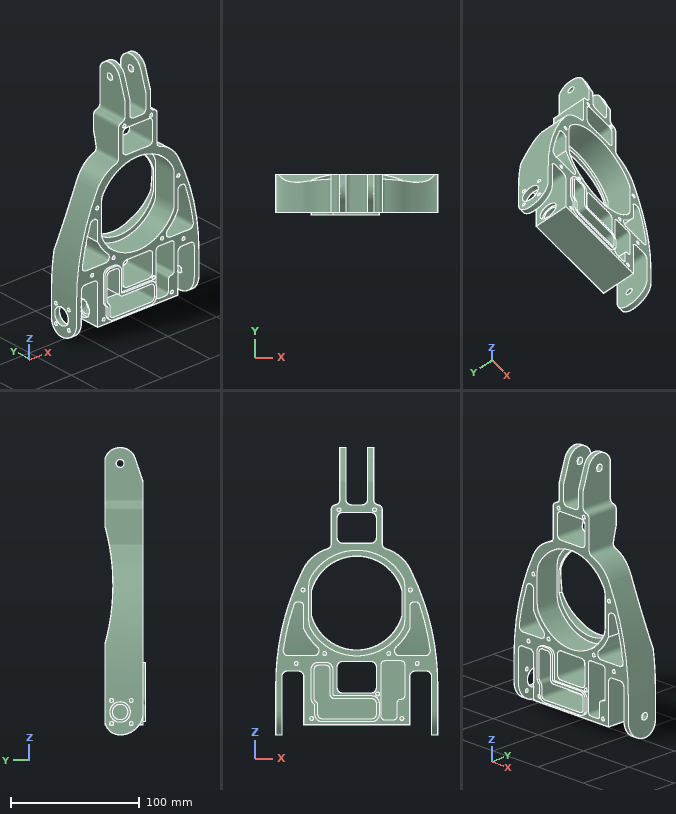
import cadquery as cq
import math


depth = 30.0
total_height = 224.5
half_width = 126.62 / 2
wall = 4.0
corner_radius = 4.0

arm_thickness = 5.0
arm_front_radius = 18.0
arm_back_radius = depth - arm_front_radius
pivot_y = arm_front_radius
pivot_z = arm_front_radius
bearing_radius = 8.0
pin_radius = 3.0
arm_straight_top = 38.8
arm_gap_top = 49.9
arm_screw_spacing_y = 15.4
arm_screw_spacing_z = 18.0
arm_screw_center_y = pivot_y - 1.0

body_half_width = 41.5
body_bottom = 8.0
bearing_seat_depth = 3.0
bearing_bore_radius = 6.0
bearing_bore_depth = 9.0

flank_radius = 202.0
flank_center = (half_width - flank_radius, arm_straight_top)
ring_z = 103.0
crown_start_z = 129.2
crown_radius = 32.0

bore_radius = 36.6
bore_half_flat = 35.3
recess_radius = 41.25
recess_half_flat = 37.5
recess_depth = 22.0
recess_blend = 15.0

neck_half_width = 20.0
shoulder_z = 179.75
lug_inner = 8.3
lug_outer = 13.3
head_radius = 12.5
pin_y = pivot_y
pin_z = total_height - head_radius
nose_slope = math.radians(18.5)
nose_blend = 6.5

hollow_z = 117.0
hollow_half_chord = 46.1
hollow_sag = 6.3
hollow_radius = (hollow_half_chord**2 + hollow_sag**2) / (2 * hollow_sag)

window_half_width = 15.25
neck_window_bottom = 149.85
neck_window_top = 173.65
body_window_bottom = 32.9
body_window_top = 57.3

pocket_bottom = 61.9
pocket_top = 104.0
pocket_ring_radius = 46.0
pocket_foot_radius = 4.0
pocket_tip_radius = 3.4

body_pocket_depth = depth - wall
lip_width = 2.3
lip_height = 2.0
channel_corner_radius = 3.5
channel_outline = [
    (-33.4, 54.5),
    (-20.8, 54.5),
    (-20.8, 28.4),
    (15.3, 28.4),
    (15.3, 12.7),
    (-30.5, 12.7),
    (-30.5, 24.8),
    (-33.4, 27.4),
]
stepped_corner_radius = 2.9
stepped_pocket_outline = [
    (19.0, 58.0),
    (37.5, 58.0),
    (37.5, 27.9),
    (31.5, 27.9),
    (31.5, 11.8),
    (19.0, 11.8),
]

screw_diameter = 3.0
screw_depth = 10.0
drill_tip_angle = math.radians(118)
mirrored_screws = [(13.9, 175.8), (41.9, 113.2), (25.0, 63.6), (47.2, 55.8), (35.2, 12.9)]
single_screw = (16.3, 32.0)


def circle_x(center, radius, z):
    """X of the right-hand point of a circle at height z."""
    return center[0] + math.sqrt(radius**2 - (z - center[1]) ** 2)


def circle_point(center, radius, angle):
    return (center[0] + radius * math.cos(angle), center[1] + radius * math.sin(angle))


def arc_middle(center, start, end):
    """Middle point of the shorter arc about a center from start to end."""
    radius = math.hypot(start[0] - center[0], start[1] - center[1])
    chord_x = (start[0] + end[0]) / 2 - center[0]
    chord_z = (start[1] + end[1]) / 2 - center[1]
    stretch = radius / math.hypot(chord_x, chord_z)
    return (center[0] + stretch * chord_x, center[1] + stretch * chord_z)


def front_plane(y=0.0):
    """Sketch plane parallel to the front face, with local axes X and Z."""
    return cq.Workplane("XZ", origin=(0, y, 0))


def side_plane(x=0.0):
    """Sketch plane with local axes Y and Z."""
    return cq.Workplane("YZ", origin=(x, 0, 0))


def both_sides(solid):
    return solid.union(solid.mirror("YZ"))


def edge_along_y(x, z):
    """Selector for the front-to-back edge at the given X and Z."""
    reach = 0.5
    return cq.selectors.BoxSelector(
        (x - reach, -1, z - reach), (x + reach, depth + 1, z + reach)
    )


def half_frame():
    arm_inner = half_width - arm_thickness
    flank_angle = math.asin((crown_start_z - arm_straight_top) / flank_radius)
    flank_end = circle_point(flank_center, flank_radius, flank_angle)
    crown_center = circle_point(flank_center, flank_radius - crown_radius, flank_angle)
    crown_rise = math.sqrt(crown_radius**2 - (neck_half_width - crown_center[0]) ** 2)
    neck_foot = (neck_half_width, crown_center[1] + crown_rise)

    turn = math.acos(1 - (neck_half_width - lug_outer) / (2 * corner_radius))
    rise = corner_radius * math.sin(turn)
    shoulder_middle = ((neck_half_width + lug_outer) / 2, shoulder_z)
    flank_start = (half_width, arm_straight_top)
    shoulder_start = (neck_half_width, shoulder_z - rise)
    convex_center = (neck_half_width - corner_radius, shoulder_z - rise)

    frame = (
        front_plane()
        .moveTo(0, body_bottom)
        .lineTo(body_half_width, body_bottom)
        .lineTo(body_half_width, arm_gap_top)
        .lineTo(arm_inner, arm_gap_top)
        .lineTo(arm_inner, pivot_z)
        .lineTo(half_width, pivot_z)
        .lineTo(*flank_start)
        .threePointArc(arc_middle(flank_center, flank_start, flank_end), flank_end)
        .threePointArc(arc_middle(crown_center, flank_end, neck_foot), neck_foot)
        .lineTo(*shoulder_start)
        .threePointArc(arc_middle(convex_center, shoulder_start, shoulder_middle), shoulder_middle)
        .tangentArcPoint((lug_outer, shoulder_z + rise), relative=False)
        .lineTo(lug_outer, total_height)
        .lineTo(lug_inner, total_height)
        .lineTo(lug_inner, shoulder_z)
        .lineTo(0, shoulder_z)
        .close()
        .extrude(-depth)
    )
    for x, z in [
        (body_half_width, arm_gap_top),
        (arm_inner, arm_gap_top),
        neck_foot,
        (lug_inner, shoulder_z),
    ]:
        frame = frame.edges(edge_along_y(x, z)).fillet(corner_radius)
    return frame.union(arm_tip())


def arm_tip():
    front_middle = circle_point((pivot_y, pivot_z), arm_front_radius, math.radians(225))
    back_middle = circle_point((pivot_y, arm_back_radius), arm_back_radius, math.radians(315))
    return (
        side_plane(half_width - arm_thickness)
        .moveTo(0, pivot_z)
        .threePointArc(front_middle, (pivot_y, 0))
        .threePointArc(back_middle, (depth, arm_back_radius))
        .lineTo(depth, pivot_z)
        .close()
        .extrude(arm_thickness)
    )


def side_envelope():
    """Side outline that rounds the clevis heads and slopes their front edge."""
    tangent_y = pin_y - head_radius * math.cos(nose_slope)
    tangent_z = pin_z + head_radius * math.sin(nose_slope)
    nose_z = tangent_z - tangent_y / math.tan(nose_slope)
    back_z = pin_z + math.sqrt(head_radius**2 - (depth - pin_y) ** 2)
    envelope = (
        side_plane(-half_width)
        .moveTo(0, 0)
        .lineTo(0, nose_z)
        .lineTo(tangent_y, tangent_z)
        .threePointArc((pin_y, total_height), (depth, back_z))
        .lineTo(depth, 0)
        .close()
        .extrude(2 * half_width)
    )
    nose_edge = cq.selectors.NearestToPointSelector((0, 0, nose_z))
    return envelope.edges("|X").edges(nose_edge).fillet(nose_blend)


def back_hollow(offset=0.0):
    """Cylinder that hollows the back face, optionally enlarged by an offset."""
    center_y = depth - hollow_sag + hollow_radius
    return (
        side_plane(-half_width)
        .center(center_y, hollow_z)
        .circle(hollow_radius + offset)
        .extrude(2 * half_width)
    )


def flatted_hole(radius, half_flat, length):
    disc = front_plane().center(0, ring_z).circle(radius).extrude(-length)
    slab = front_plane().center(0, ring_z).rect(2 * half_flat, 2 * radius).extrude(-length)
    return disc.intersect(slab)


def ring_opening():
    recess = flatted_hole(recess_radius, recess_half_flat, recess_depth)
    recess = recess.edges("|Y").fillet(recess_blend)
    return recess.union(flatted_hole(bore_radius, bore_half_flat, depth))


def window(bottom, top):
    return (
        front_plane()
        .center(0, (bottom + top) / 2)
        .rect(2 * window_half_width, top - bottom)
        .extrude(-depth)
        .edges("|Y")
        .fillet(corner_radius)
    )


def side_pocket():
    """Pocket whose floor keeps an even wall to the hollow of the back face."""
    ring_center = (0, ring_z)
    flank_inner = flank_radius - wall
    inner_foot = (circle_x(ring_center, pocket_ring_radius, pocket_bottom), pocket_bottom)
    inner_bend_z = ring_z - math.sqrt(pocket_ring_radius**2 - body_half_width**2)
    outer_foot = (circle_x(flank_center, flank_inner, pocket_bottom), pocket_bottom)
    outer_top = (circle_x(flank_center, flank_inner, pocket_top), pocket_top)
    inner_bend = (body_half_width, inner_bend_z)
    inner_top = (body_half_width, pocket_top)
    pocket = (
        front_plane()
        .moveTo(*outer_foot)
        .threePointArc(arc_middle(flank_center, outer_foot, outer_top), outer_top)
        .lineTo(*inner_top)
        .lineTo(*inner_bend)
        .threePointArc(arc_middle(ring_center, inner_bend, inner_foot), inner_foot)
        .close()
        .extrude(-depth)
    )
    for x, z in [outer_foot, inner_foot]:
        pocket = pocket.edges(edge_along_y(x, z)).fillet(pocket_foot_radius)
    for x, z in [outer_top, inner_top]:
        pocket = pocket.edges(edge_along_y(x, z)).fillet(pocket_tip_radius)
    return pocket.cut(back_hollow(wall))


def channel(start_y, end_y):
    prism = front_plane(start_y).polyline(channel_outline).close().extrude(start_y - end_y)
    return prism.edges("|Y").fillet(channel_corner_radius)


def channel_lip():
    rim = channel(-lip_height, 0).faces("<Y").wires().toPending().offset2D(lip_width)
    return rim.extrude(-lip_height)


def stepped_pocket():
    prism = front_plane().polyline(stepped_pocket_outline).close().extrude(-body_pocket_depth)
    return prism.edges("|Y").fillet(stepped_corner_radius)


def front_screws():
    spots = [single_screw]
    for x, z in mirrored_screws:
        spots += [(x, z), (-x, z)]
    radius = screw_diameter / 2
    tip_depth = screw_depth + radius / math.tan(drill_tip_angle / 2)
    drill = (
        cq.Workplane("XY")
        .polyline([(0, 0), (radius, 0), (radius, screw_depth), (0, tip_depth)])
        .close()
        .revolve(360, (0, 0, 0), (0, 1, 0))
    )
    holes = cq.Workplane("XY")
    for x, z in spots:
        holes = holes.add(drill.translate((x, 0, z)))
    return holes.combine()


def bearing_holes():
    """Bearing bore and screws of the -X arm, with the stepped seat in the body beside it."""
    seat_x = -body_half_width + bearing_seat_depth
    arm_bore = (
        side_plane(-half_width)
        .center(pivot_y, pivot_z)
        .circle(bearing_radius)
        .extrude(half_width + seat_x)
    )
    body_bore = (
        side_plane(-body_half_width)
        .center(pivot_y, pivot_z)
        .circle(bearing_bore_radius)
        .extrude(bearing_bore_depth)
    )
    screws = (
        side_plane(-half_width)
        .center(arm_screw_center_y, pivot_z)
        .rect(arm_screw_spacing_y, arm_screw_spacing_z, forConstruction=True)
        .vertices()
        .circle(screw_diameter / 2)
        .extrude(arm_thickness)
    )
    return arm_bore.union(body_bore).union(screws)


def pivot_pin_hole():
    """Plain pin hole through the +X arm."""
    arm_inner = half_width - arm_thickness
    return side_plane(arm_inner).center(pivot_y, pivot_z).circle(pin_radius).extrude(arm_thickness)


def clevis_pin_holes():
    return side_plane(-lug_outer).center(pin_y, pin_z).circle(pin_radius).extrude(2 * lug_outer)


frame = both_sides(half_frame()).intersect(side_envelope())
frame = frame.cut(back_hollow())
frame = frame.cut(ring_opening())
frame = frame.cut(window(neck_window_bottom, neck_window_top))
frame = frame.cut(window(body_window_bottom, body_window_top))
frame = frame.cut(both_sides(side_pocket()))
frame = frame.union(channel_lip()).cut(channel(-lip_height, body_pocket_depth))
frame = frame.cut(stepped_pocket())
frame = frame.cut(front_screws())
frame = frame.cut(bearing_holes())
frame = frame.cut(pivot_pin_hole())
result = frame.cut(clevis_pin_holes())